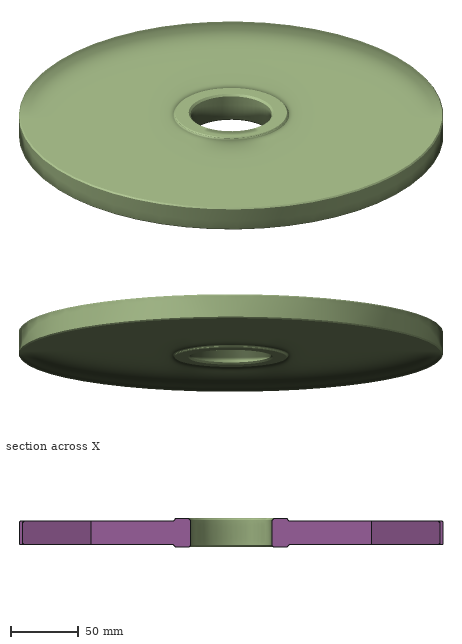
import cadquery as cq

wheel_diameter = 315.0
wheel_width = 18.0
rim_chamfer = 1.0

hub_diameter = 84.0
hub_base_diameter = 86.0
hub_width = 21.5
hub_chamfer = 0.5
bore_diameter = 60.2
bore_chamfer = 1.42

insert_outer_diameter = 309.3
insert_inner_diameter = 208.5
insert_chamfer = 1.0
skin_thickness = 0.5
insert_width = wheel_width - 2 * skin_thickness


def centred_disc(diameter, width):
    """Disc about the Z axis, centred on the XY plane."""
    return cq.Workplane("XY").workplane(offset=-width / 2).circle(diameter / 2).extrude(width)


def make_insert():
    """Flat ring with both outer edges chamfered."""
    outer = centred_disc(insert_outer_diameter, insert_width).edges().chamfer(insert_chamfer)
    return outer.cut(centred_disc(insert_inner_diameter, insert_width))


def make_hub_flare():
    """Cone frustums that widen the hub at 45 degrees where it meets each wheel face."""
    flare_height = (hub_base_diameter - hub_diameter) / 2
    flare_width = wheel_width + 2 * flare_height
    return centred_disc(hub_base_diameter, flare_width).edges().chamfer(flare_height)


def make_wheel(insert):
    """Wheel with a hub standing proud on both faces and a cavity that the insert fills."""
    rim = centred_disc(wheel_diameter, wheel_width).edges().chamfer(rim_chamfer)
    hub = centred_disc(hub_diameter, hub_width).edges().chamfer(hub_chamfer)
    bore = centred_disc(bore_diameter, hub_width)
    wheel = rim.union(hub).union(make_hub_flare()).cut(bore)
    bore_edges = wheel.faces("<Z or >Z").edges(cq.selectors.RadiusNthSelector(0))
    return bore_edges.chamfer(bore_chamfer).cut(insert)


insert = make_insert()
wheel = make_wheel(insert)

result = cq.Compound.makeCompound([wheel.solids().val(), insert.solids().val()])